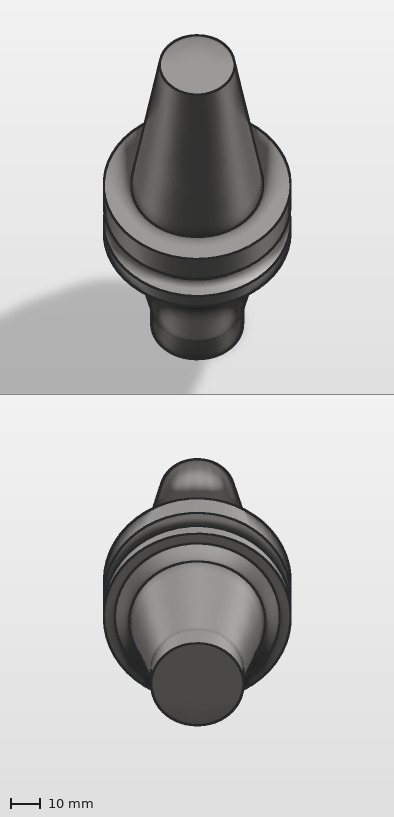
import cadquery as cq

total_length = 142.4
nose_length = 10.3
body_top = 46.1
lower_flange_bottom = 50.0
lower_flange_top = 55.7
groove_bottom = 58.2
groove_top = 62.8
upper_flange_bottom = 65.4
flange_top = 76.2
collar_height = 1.0

nose_diameter = 31.0
body_diameter = 45.9
chamfer_diameter = 55.5
flange_diameter = 63.0
groove_diameter = 53.0
taper_large_diameter = 44.5
taper_small_diameter = 25.2

profile = [
    (nose_diameter, 0),
    (nose_diameter, nose_length),
    (body_diameter, body_top),
    (chamfer_diameter, lower_flange_bottom),
    (flange_diameter, lower_flange_bottom),
    (flange_diameter, lower_flange_top),
    (groove_diameter, groove_bottom),
    (groove_diameter, groove_top),
    (flange_diameter, upper_flange_bottom),
    (flange_diameter, flange_top),
    (taper_large_diameter, flange_top),
    (taper_large_diameter, flange_top + collar_height),
    (taper_small_diameter, total_length),
]

outline = [(0, 0)]
outline += [(diameter / 2, height) for diameter, height in profile]
outline += [(0, total_length)]

result = cq.Workplane("XZ").polyline(outline).close().revolve(360, (0, 0, 0), (0, 1, 0))